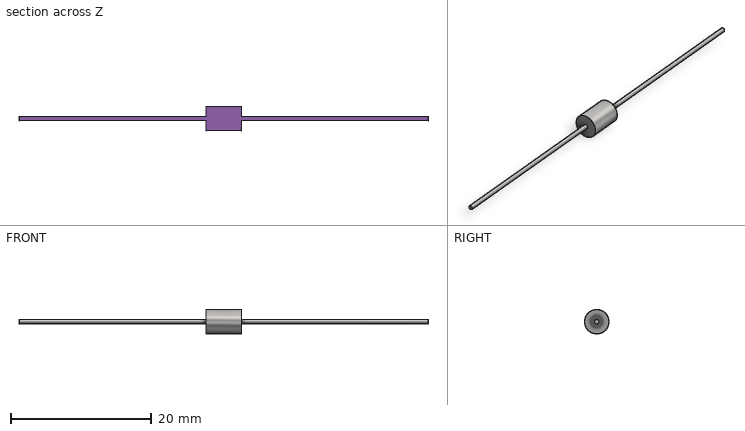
import cadquery as cq

overall_length = 58.4
lead_diameter = 0.65
body_diameter = 3.5
body_length = 5.1


def cylinder_along_x(diameter, length):
    """Cylinder on the X axis, centred on the origin."""
    return cq.Workplane("YZ", origin=(-length / 2, 0, 0)).circle(diameter / 2).extrude(length)


leads = cylinder_along_x(lead_diameter, overall_length)
body = cylinder_along_x(body_diameter, body_length)

result = body.union(leads)